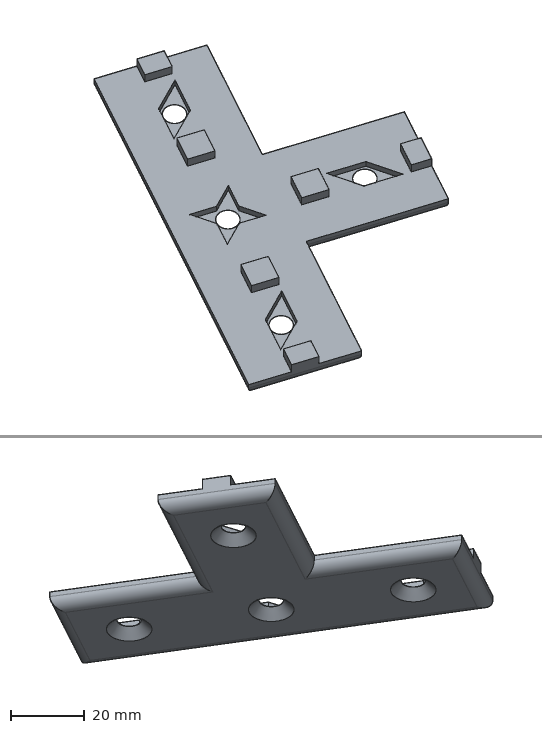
import cadquery as cq
import math

arm_width = 33.0
arm_reach = 58.0
plate_thickness = 5.0
edge_radius = 3.5

block_size = 8.0
block_height = 3.0
inner_block_offset = 24.0
end_block_length = 6.0

hole_diameter = 6.6
hole_offset = 40.0
countersink_diameter = 12.4
countersink_depth = (countersink_diameter - hole_diameter) / 2

pocket_depth = 2.0
pocket_width = 7.8
pocket_slant_width = 8.1

arm_angles = (0, 90, 180)


def make_plate():
    """T-shaped plate with its lower outer edges rounded."""
    half_width = arm_width / 2
    outline = [
        (-arm_reach, -half_width),
        (arm_reach, -half_width),
        (arm_reach, half_width),
        (half_width, half_width),
        (half_width, arm_reach),
        (-half_width, arm_reach),
        (-half_width, half_width),
        (-arm_reach, half_width),
    ]
    plate = cq.Workplane("XY").polyline(outline).close().extrude(plate_thickness)
    return plate.faces("<Z").edges().fillet(edge_radius)


def at_arm(shape, angle):
    """Turn a shape built on the +X arm onto the arm at the given angle."""
    return shape.rotate((0, 0, 0), (0, 0, 1), angle)


def make_arm_blocks():
    """Inner and end blocks of the +X arm."""
    top = cq.Workplane("XY").workplane(offset=plate_thickness)
    inner = top.center(inner_block_offset, 0).rect(block_size, block_size).extrude(block_height)
    end_centre = arm_reach - end_block_length / 2
    end = top.center(end_centre, 0).rect(end_block_length, block_size).extrude(block_height)
    return inner.union(end)


def make_pocket():
    """Parallelogram pocket at the origin, pointing along X, where a straight and a 45 degree strip cross."""
    half_width = pocket_width / 2
    slant_shift = pocket_slant_width / 2 * math.sqrt(2)
    tip = slant_shift + half_width
    shoulder = slant_shift - half_width
    outline = [
        (-tip, half_width),
        (shoulder, half_width),
        (tip, -half_width),
        (-shoulder, -half_width),
    ]
    floor = cq.Workplane("XY").workplane(offset=plate_thickness - pocket_depth)
    return floor.polyline(outline).close().extrude(pocket_depth)


def make_hole():
    """Through hole at the origin, countersunk from the underside."""
    base = cq.Workplane("XY")
    bore = base.circle(hole_diameter / 2).extrude(plate_thickness)
    countersink = cq.Workplane(
        cq.Solid.makeCone(countersink_diameter / 2, hole_diameter / 2, countersink_depth)
    )
    return bore.union(countersink)


def make_arm_opening():
    """Hole and pocket of the +X arm."""
    opening = make_pocket().union(make_hole())
    return opening.translate((hole_offset, 0, 0))


def make_centre_opening():
    """Hole and four-pointed star pocket, two pockets crossed at right angles."""
    pocket = make_pocket()
    return pocket.union(at_arm(pocket, 90)).union(make_hole())


result = make_plate().cut(make_centre_opening())
for angle in arm_angles:
    result = result.union(at_arm(make_arm_blocks(), angle))
    result = result.cut(at_arm(make_arm_opening(), angle))